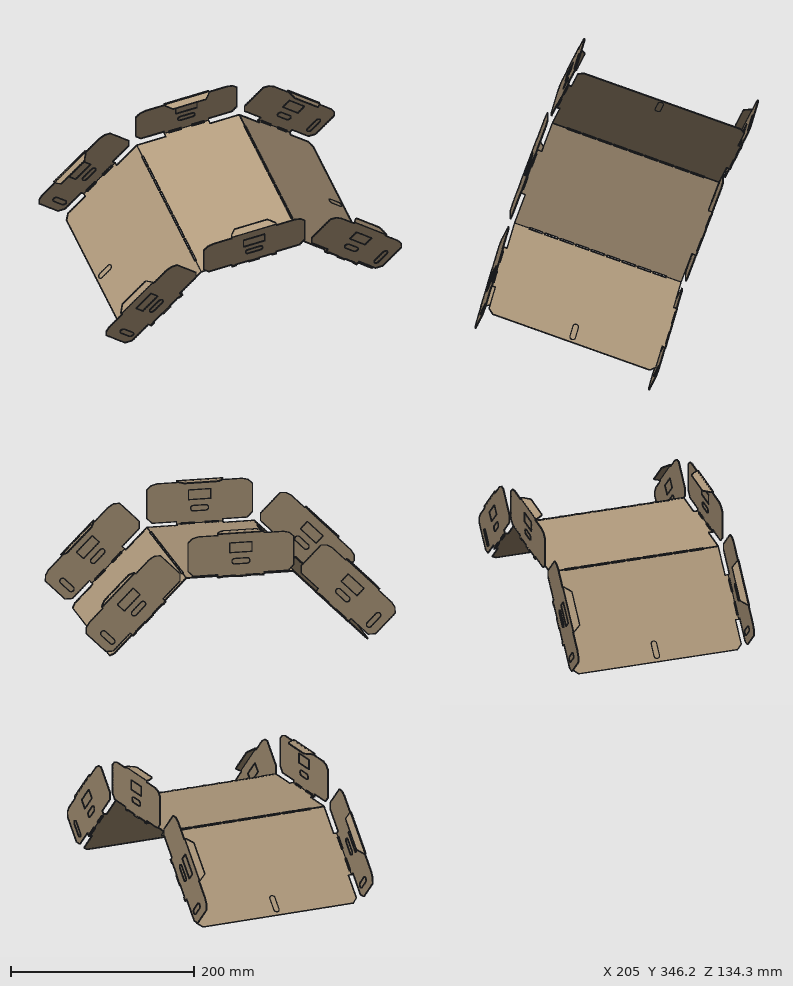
import cadquery as cq
import math

sheet = 1.0
bend_angle = 45

overall_width = 205.0
middle_length = 120.5
end_length = 119.7
floor_width = 193.8
floor_corner = 5.5

middle_wall_length, middle_wall_bottom = 118.5, 2.5
end_wall_length, end_wall_bottom = 117.5, 3.8
wall_top = 47.0
bottom_corner = 6.0
end_edge_top = 41.0
shoulder_inset, shoulder_height = 5.0, 45.5
top_inset = 11.5
tab_length = 52.0

flange_height = 49.0
flange_gap = 184.0
flange_corner_length = 6.5
flange_corner_width = 7.5

perforation_length = 15.0
cross_bend_reach = 1.2
wall_bend_reach = 1.7
cross_bend_count, cross_bend_pitch = 9, 18.0
wall_bend_count, wall_bend_pitch = 2, 27.0

knockout_depth = 0.17
slot_length = 20.0
slot_width = 6.2
window_length, window_width, window_height = 25.0, 11.0, 32.2
wall_slot_height = 16.5
cross_slot_height = 19.5
cross_slot_from_bend = 106.0

end_drop = (end_length + sheet) * math.sin(math.radians(bend_angle))
floor_z = (end_drop - flange_height) / 2


def row(count, pitch):
    """Positions of equally spaced items centred on zero."""
    return [(i - (count - 1) / 2) * pitch for i in range(count)]


def upright(x):
    """Sketch plane facing +X, with Y to the right and Z up."""
    return cq.Workplane("YZ", origin=(x, 0, 0))


def floor(width, length):
    """Floor plate, widened in the middle to meet the walls."""
    plate = cq.Workplane("XY").box(floor_width, length, sheet)
    tab = cq.Workplane("XY").box(width, tab_length, sheet)
    return plate.union(tab).translate((0, 0, -sheet / 2))


def wall(width, wall_length, wall_bottom):
    """Wall on the +X side, with its floor tab and top flange."""
    inside = width / 2 - sheet
    end = wall_length / 2
    half_outline = [
        (end - bottom_corner, wall_bottom),
        (end, wall_bottom + bottom_corner),
        (end, end_edge_top),
        (end - shoulder_inset, shoulder_height),
        (end - top_inset, wall_top),
    ]
    mirrored = [(-y, z) for y, z in reversed(half_outline)]
    panel = upright(inside).polyline(half_outline + mirrored).close().extrude(sheet)
    tab = (
        upright(inside)
        .moveTo(0, (flange_height - sheet) / 2)
        .rect(tab_length, flange_height + sheet)
        .extrude(sheet)
    )
    root, tip = width / 2, flange_gap / 2
    corner_x = tip + flange_corner_width
    half_tab = tab_length / 2
    half_tip = half_tab - flange_corner_length
    flange = (
        cq.Workplane("XY", origin=(0, 0, flange_height - sheet))
        .polyline([
            (root, -half_tab),
            (corner_x, -half_tab),
            (tip, -half_tip),
            (tip, half_tip),
            (corner_x, half_tab),
            (root, half_tab),
        ])
        .close()
        .extrude(sheet)
    )
    return panel.union(tab).union(flange)


def wall_perforations(width):
    """Cutters along the bend between the floor and the +X wall."""
    return (
        cq.Workplane("XY", origin=(width / 2, 0, -sheet))
        .pushPoints([(0, y) for y in row(wall_bend_count, wall_bend_pitch)])
        .box(2 * wall_bend_reach, perforation_length, 2 * wall_bend_reach)
    )


def cross_bend_notches(end_y):
    """Cutters for one floor's half of the perforations along a cross bend."""
    return (
        cq.Workplane("XY", origin=(0, end_y, 0))
        .pushPoints([(x, 0) for x in row(cross_bend_count, cross_bend_pitch)])
        .box(perforation_length, 2 * cross_bend_reach, 4 * sheet)
    )


def wall_knockouts(width):
    """Recesses in both faces of the +X wall: a window with a slot below it."""
    recesses = cq.Workplane("XY")
    for x in (width / 2 - sheet, width / 2 - knockout_depth):
        window = upright(x).center(0, window_height).rect(window_length, window_width)
        slot = upright(x).center(0, wall_slot_height).slot2D(slot_length, slot_width)
        recesses = recesses.union(window.extrude(knockout_depth)).union(slot.extrude(knockout_depth))
    return recesses


def end_knockouts(width, slot_y):
    """Recesses near the free end: crosswise in both faces of the +X wall, lengthwise in the floor."""
    floor_plane = cq.Workplane("XY", origin=(0, slot_y, -knockout_depth))
    recesses = floor_plane.slot2D(slot_length, slot_width, 90).extrude(knockout_depth)
    for x in (width / 2 - sheet, width / 2 - knockout_depth):
        slot = upright(x).center(slot_y, cross_slot_height).slot2D(slot_length, slot_width, 90)
        recesses = recesses.union(slot.extrude(knockout_depth))
    return recesses


def cut_both_sides(body, cutters):
    """Cut the cutters and their mirror images across X = 0."""
    return body.cut(cutters).cut(cutters.mirror("YZ"))


def section(width, length, wall_length, wall_bottom):
    """One tray section: a floor between two mirrored walls."""
    right_wall = wall(width, wall_length, wall_bottom)
    body = floor(width, length).union(right_wall).union(right_wall.mirror("YZ"))
    body = cut_both_sides(body, wall_perforations(width))
    return cut_both_sides(body, wall_knockouts(width))


middle = section(overall_width, middle_length, middle_wall_length, middle_wall_bottom)
for bend_side in (-1, 1):
    middle = middle.cut(cross_bend_notches(bend_side * middle_length / 2))
end_width = overall_width - 2 * sheet
end = section(end_width, end_length, end_wall_length, end_wall_bottom)
end = end.cut(cross_bend_notches(-end_length / 2))
end = cut_both_sides(end, end_knockouts(end_width, cross_slot_from_bend - end_length / 2))

free_corners = cq.selectors.BoxSelector(
    (-floor_width, end_length / 2 - sheet, -2 * sheet),
    (floor_width, end_length / 2 + sheet, sheet),
)
end = end.edges("|Z").edges(free_corners).chamfer(floor_corner)

bend_y = middle_length / 2
end = end.translate((0, end_length / 2, 0))
end = end.rotate((0, 0, 0), (1, 0, 0), -bend_angle).translate((0, bend_y, 0))
tray = middle.union(end).union(end.mirror("XZ"))

result = tray.translate((0, 0, floor_z))